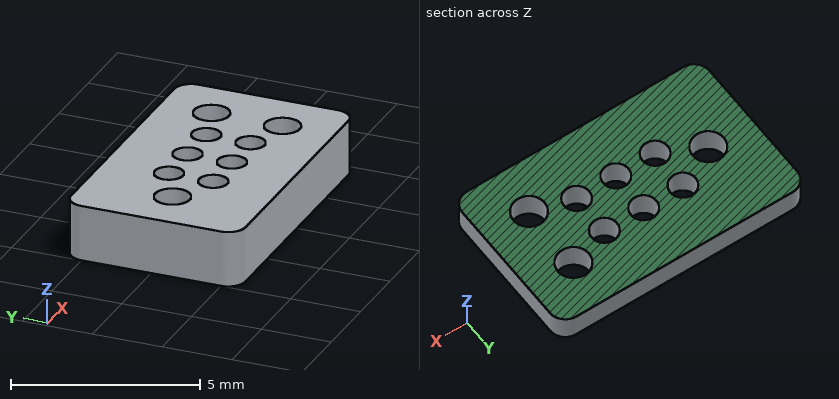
import cadquery as cq

length = 8.0
width = 5.0
thickness = 1.6
corner_radius = 0.5

pitch = 1.27
contact_diameter = 0.8
contact_columns = 3
contact_rows = 2

alignment_diameter = 0.99
alignment_x = 2 * pitch
alignment_pair_spacing = 2.032


def make_plate():
    """Flat plate with rounded vertical corners, resting on Z = 0."""
    plate = cq.Workplane("XY").box(length, width, thickness, centered=(True, True, False))
    return plate.edges("|Z").fillet(corner_radius)


def cut_contact_holes(plate):
    """Grid of through holes for the contacts."""
    top = plate.faces(">Z").workplane(origin=(0, 0, thickness))
    return top.rarray(pitch, pitch, contact_columns, contact_rows).hole(contact_diameter)


def cut_alignment_holes(plate):
    """Triangle of larger through holes around the contact grid."""
    centres = [
        (-alignment_x, 0),
        (alignment_x, alignment_pair_spacing / 2),
        (alignment_x, -alignment_pair_spacing / 2),
    ]
    top = plate.faces(">Z").workplane(origin=(0, 0, thickness))
    return top.pushPoints(centres).hole(alignment_diameter)


result = cut_alignment_holes(cut_contact_holes(make_plate()))